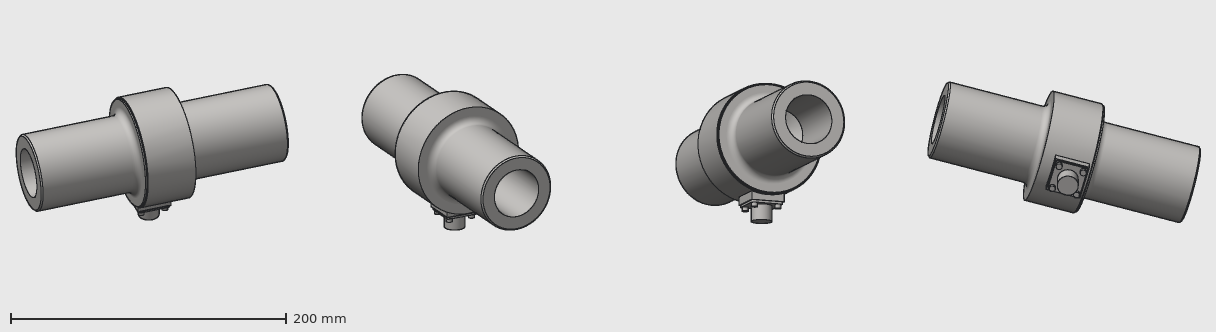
import cadquery as cq
import math

overall_length = 190.5
barrel_radius = 28.5
barrel_chamfer = 1.1
collar_diameter = 82.1
collar_radius = collar_diameter / 2
collar_length = 38.5
collar_fillet = 5.1

rim_step = 1.1
rim_radius = collar_radius - rim_step
rim_length = 1.1
shoulder_chamfer = 0.5

bore_radius = 18.1
bore_depth = 57.2
drill_point_angle = 118.0

overall_height = 99.6
connector_y = -2.7
connector_bottom = collar_radius - overall_height
pad_size = 25.5
pad_bottom = -45.3
flange_size = 24.0
flange_bottom = -47.0
flange_corner_radius = 1.1
plug_radius = 7.6
screw_radius = 2.3
screw_offset = 9.1
screw_bottom = -50.0

half_length = overall_length / 2
half_collar = collar_length / 2


def turned_body():
    """Barrel, collar and stepped rim as one revolved solid."""
    rim_start = -half_collar + rim_length
    profile = (
        cq.Workplane("XY")
        .moveTo(0, -half_length)
        .lineTo(barrel_radius - barrel_chamfer, -half_length)
        .lineTo(barrel_radius, -half_length + barrel_chamfer)
        .lineTo(barrel_radius, -half_collar - collar_fillet)
        .radiusArc((barrel_radius + collar_fillet, -half_collar), collar_fillet)
        .lineTo(rim_radius, -half_collar)
        .lineTo(rim_radius, rim_start)
        .lineTo(collar_radius - shoulder_chamfer, rim_start)
        .lineTo(collar_radius, rim_start + shoulder_chamfer)
        .lineTo(collar_radius, half_collar)
        .lineTo(barrel_radius + collar_fillet, half_collar)
        .radiusArc((barrel_radius, half_collar + collar_fillet), collar_fillet)
        .lineTo(barrel_radius, half_length - barrel_chamfer)
        .lineTo(barrel_radius - barrel_chamfer, half_length)
        .lineTo(0, half_length)
        .close()
    )
    return profile.revolve(360, (0, 0, 0), (0, 1, 0))


def blind_bore(end):
    """Drilled hole entering from the barrel end on side `end` (-1 or +1) of Y."""
    point_depth = bore_radius / math.tan(math.radians(drill_point_angle / 2))
    cone_start = half_length - bore_depth
    return (
        cq.Workplane("XY")
        .moveTo(0, end * half_length)
        .lineTo(bore_radius, end * half_length)
        .lineTo(bore_radius, end * cone_start)
        .lineTo(0, end * (cone_start - point_depth))
        .close()
        .revolve(360, (0, 0, 0), (0, 1, 0))
    )


def hanging(bottom):
    """Workplane at height `bottom`, centred on the connector axis."""
    return cq.Workplane("XY", origin=(0, connector_y, bottom))


def connector():
    """Square pad, rounded flange, round plug and four screw heads."""
    pad_top = -barrel_radius
    pad = hanging(pad_bottom).rect(pad_size, pad_size).extrude(pad_top - pad_bottom)
    flange = (
        hanging(flange_bottom)
        .rect(flange_size, flange_size)
        .extrude(pad_bottom - flange_bottom)
        .edges("|Z")
        .fillet(flange_corner_radius)
    )
    plug = hanging(connector_bottom).circle(plug_radius).extrude(flange_bottom - connector_bottom)
    screws = (
        hanging(screw_bottom)
        .rect(2 * screw_offset, 2 * screw_offset, forConstruction=True)
        .vertices()
        .circle(screw_radius)
        .extrude(flange_bottom - screw_bottom)
    )
    return pad.union(flange).union(plug).union(screws)


result = turned_body().union(connector())
for end in (-1, 1):
    result = result.cut(blind_bore(end))